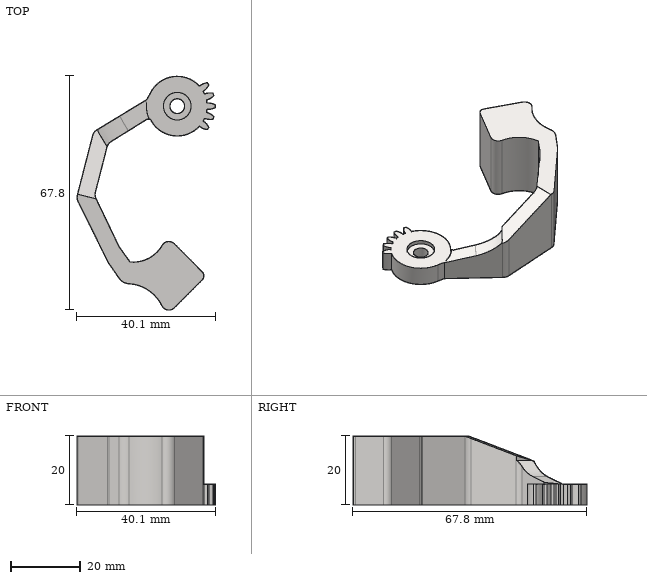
import cadquery as cq
import math

HUB_RADIUS = 8.7
HUB_HEIGHT = 6.1
HUB_CLEARANCE_RADIUS = 8.95
BORE_DIAMETER = 4.2
COUNTERBORE_DIAMETER = 8.0
COUNTERBORE_DEPTH = 1.2

TOOTH_COUNT = 5
TOOTH_PITCH_ANGLE = 18
TOOTH_TIP_X = 11.05
TOOTH_MIDDLE_X = 10.0
TOOTH_ROOT_X = 8.1
TOOTH_ROOT_HALF = 0.95
TOOTH_MIDDLE_HALF = 0.8
TOOTH_TIP_HALF = 0.4

ARM_HEIGHT = 20.0
OUTER_SHOULDER = (-24.25, -7.45)
OUTER_ELBOW = (-29.2, -26.7)
OUTER_BEND = (-20.0, -45.3)
OUTER_HEEL = (-15.7, -51.3)
INNER_SHOULDER = (-20.05, -10.8)
INNER_ELBOW = (-23.9, -25.85)
INNER_BEND = (-16.8, -40.7)
INNER_HEEL = (-13.7, -45.15)
HUB_FAIRING_START = (-7.8, 3.8)
HUB_FAIRING_END = (-8.9, 1.9)
HUB_INNER_JOINT = (-8.75, -3.8)
SHOULDER_ROUND = 2.7
ELBOW_ROUND = 2.7
BEND_ROUND = 4.75
HEEL_ROUND = 3.65
ARM_END_X = -6.8

PAD_Y = -49.1
PAD_CORNER_X = 8.4
PAD_CORNER_ROUND = 1.6
LOBE_X = -2.45
LOBE_OFFSET = 7.7
LOBE_RADIUS = 2.25
HOLLOW_OFFSET = 13.6
LOWER_HOLLOW_X = -14.6
UPPER_HOLLOW_X = -12.7

RAMP_START_Y = -25.45
RAMP_SLOPE = 0.37
HUB_ARM_ANGLE = 31.2
SCOOP_START = -23.4
SCOOP_END = -15.8
SCOOP_START_HEIGHT = 13.0
SCOOP_END_HEIGHT = 8.3
HUB_ARM_END = -7.1
CUT_MARGIN = 13.55


def toward(start, end, distance):
    """Point at a given distance from start on the line toward end."""
    span = math.dist(start, end)
    return tuple(a + (b - a) * distance / span for a, b in zip(start, end))


def polar(center, radius, angle):
    return (center[0] + radius * math.cos(angle), center[1] + radius * math.sin(angle))


def middle_angle(center, first, last):
    """Direction halfway between two points seen from a center."""
    angles = [math.atan2(p[1] - center[1], p[0] - center[0]) for p in (first, last)]
    return sum(angles) / 2


def make_arm_blank():
    """Full-height outline of the arm and the pad, with rounded corners."""
    lower_lobe = (LOBE_X, PAD_Y - LOBE_OFFSET)
    upper_lobe = (LOBE_X, PAD_Y + LOBE_OFFSET)
    lower_hollow = (LOWER_HOLLOW_X, PAD_Y - HOLLOW_OFFSET)
    upper_hollow = (UPPER_HOLLOW_X, PAD_Y + HOLLOW_OFFSET)

    lower_radius = math.dist(lower_hollow, lower_lobe) - LOBE_RADIUS
    upper_radius = math.dist(upper_hollow, upper_lobe) - LOBE_RADIUS
    lower_joint = toward(lower_lobe, lower_hollow, LOBE_RADIUS)
    upper_joint = toward(upper_lobe, upper_hollow, LOBE_RADIUS)
    lower_start = toward(lower_hollow, OUTER_HEEL, lower_radius)
    heel_angle = math.atan2(INNER_HEEL[1] - upper_hollow[1], INNER_HEEL[0] - upper_hollow[0])
    upper_end = polar(upper_hollow, upper_radius, heel_angle)

    side_angle = math.radians(45)
    lower_side = polar(lower_lobe, LOBE_RADIUS, -side_angle)
    upper_side = polar(upper_lobe, LOBE_RADIUS, side_angle)
    lower_middle = polar(lower_hollow, lower_radius, middle_angle(lower_hollow, lower_start, lower_joint))
    upper_middle = polar(upper_hollow, upper_radius, middle_angle(upper_hollow, upper_joint, upper_end))
    blank = (
        cq.Workplane("XY")
        .moveTo(*lower_start)
        .threePointArc(lower_middle, lower_joint)
        .threePointArc((LOBE_X, lower_lobe[1] - LOBE_RADIUS), lower_side)
        .lineTo(PAD_CORNER_X, PAD_Y)
        .lineTo(*upper_side)
        .threePointArc((LOBE_X, upper_lobe[1] + LOBE_RADIUS), upper_joint)
        .threePointArc(upper_middle, upper_end)
        .lineTo(*INNER_BEND)
        .lineTo(*INNER_ELBOW)
        .lineTo(*INNER_SHOULDER)
        .lineTo(*HUB_INNER_JOINT)
        .lineTo(ARM_END_X, HUB_INNER_JOINT[1])
        .lineTo(ARM_END_X, HUB_FAIRING_START[1])
        .lineTo(*HUB_FAIRING_START)
        .lineTo(*HUB_FAIRING_END)
        .lineTo(*OUTER_SHOULDER)
        .lineTo(*OUTER_ELBOW)
        .lineTo(*OUTER_BEND)
        .close()
        .extrude(ARM_HEIGHT)
    )
    rounds = (
        (OUTER_SHOULDER, SHOULDER_ROUND),
        (INNER_SHOULDER, SHOULDER_ROUND),
        (OUTER_ELBOW, ELBOW_ROUND),
        (INNER_ELBOW, ELBOW_ROUND),
        (OUTER_BEND, BEND_ROUND),
        (INNER_BEND, BEND_ROUND),
        (lower_start, HEEL_ROUND),
        ((PAD_CORNER_X, PAD_Y), PAD_CORNER_ROUND),
    )
    for corner, radius in rounds:
        blank = blank.edges(cq.selectors.NearestToPointSelector((*corner, ARM_HEIGHT / 2))).fillet(radius)
    return blank


def make_ramp_cut():
    """Wedge above the plane that falls along the middle stretch of the arm."""
    run_x = OUTER_SHOULDER[0] - OUTER_ELBOW[0]
    run_y = OUTER_SHOULDER[1] - OUTER_ELBOW[1]
    ramp_x = OUTER_ELBOW[0] + run_x * (RAMP_START_Y - OUTER_ELBOW[1]) / run_y
    ramp_plane = cq.Plane(
        origin=(ramp_x, RAMP_START_Y, ARM_HEIGHT), xDir=(run_x, run_y, 0), normal=(run_y, -run_x, 0)
    )
    length = math.hypot(run_x, run_y) + CUT_MARGIN
    return (
        cq.Workplane(ramp_plane)
        .polyline([(0, 0), (length, -RAMP_SLOPE * length), (length, 0)])
        .close()
        .extrude(2 * CUT_MARGIN, both=True)
    )


def make_scoop_cut():
    """Space above the hub arm: a hollow arc that runs into a slope down to the hub."""
    return (
        cq.Workplane("XZ")
        .moveTo(0, ARM_HEIGHT)
        .lineTo(0, HUB_HEIGHT)
        .lineTo(HUB_ARM_END, HUB_HEIGHT)
        .lineTo(SCOOP_END, SCOOP_END_HEIGHT)
        .tangentArcPoint((SCOOP_START, SCOOP_START_HEIGHT), relative=False)
        .lineTo(SCOOP_START, ARM_HEIGHT)
        .close()
        .extrude(CUT_MARGIN, both=True)
        .rotate((0, 0, 0), (0, 0, 1), HUB_ARM_ANGLE)
    )


def make_tooth():
    return (
        cq.Workplane("XY")
        .moveTo(TOOTH_ROOT_X, -TOOTH_ROOT_HALF)
        .lineTo(HUB_RADIUS, -TOOTH_ROOT_HALF)
        .threePointArc((TOOTH_MIDDLE_X, -TOOTH_MIDDLE_HALF), (TOOTH_TIP_X, -TOOTH_TIP_HALF))
        .lineTo(TOOTH_TIP_X, TOOTH_TIP_HALF)
        .threePointArc((TOOTH_MIDDLE_X, TOOTH_MIDDLE_HALF), (HUB_RADIUS, TOOTH_ROOT_HALF))
        .lineTo(TOOTH_ROOT_X, TOOTH_ROOT_HALF)
        .close()
        .extrude(HUB_HEIGHT)
    )


def make_gear():
    gear = cq.Workplane("XY").circle(HUB_RADIUS).extrude(HUB_HEIGHT)
    for index in range(TOOTH_COUNT):
        angle = (index - (TOOTH_COUNT - 1) / 2) * TOOTH_PITCH_ANGLE
        gear = gear.union(make_tooth().rotate((0, 0, 0), (0, 0, 1), angle))
    return gear


hub_clearance = (
    cq.Workplane("XY").workplane(offset=HUB_HEIGHT).circle(HUB_CLEARANCE_RADIUS).extrude(ARM_HEIGHT)
)
arm = make_arm_blank().cut(make_ramp_cut()).cut(make_scoop_cut()).cut(hub_clearance)
bore = cq.Workplane("XY").circle(BORE_DIAMETER / 2).extrude(HUB_HEIGHT)
counterbore = (
    cq.Workplane("XY")
    .workplane(offset=HUB_HEIGHT - COUNTERBORE_DEPTH)
    .circle(COUNTERBORE_DIAMETER / 2)
    .extrude(COUNTERBORE_DEPTH)
)
result = arm.union(make_gear()).cut(bore).cut(counterbore)